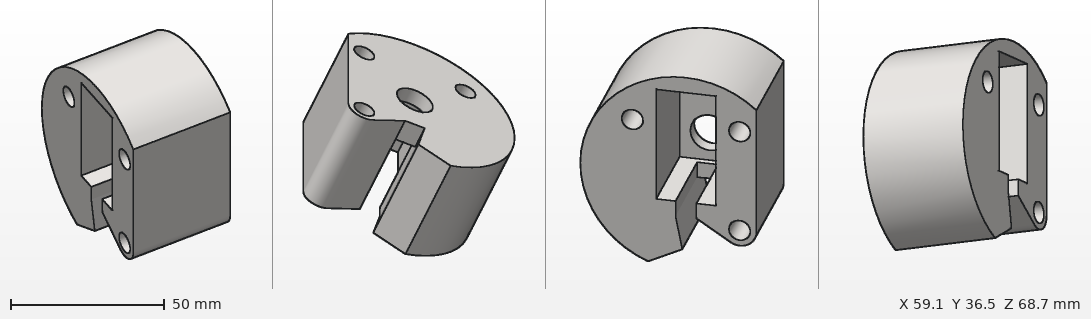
import cadquery as cq
import math

thickness = 36.55
body_radius = 35.5
mount_offset = 18.0
mount_diameter = 7.15
corner_radius = 5.6
flat_x = mount_offset + corner_radius
shaft_diameter = 12.8

pocket_width = 20.0
pocket_height = 2 * pocket_width
pocket_bottom = -pocket_width / 2
pocket_depth = 31.25
slot_width = 7.0
slot_bottom = -15.45
slot_depth = 28.85

lip_x = -1.25
lip_z = -27.35
tail_x = -12.7


def on_body_circle(x):
    """Height of the body circle above its centre at the given X."""
    return math.sqrt(body_radius**2 - x**2)


def on_corner(angle):
    """Point on the rounded lower corner at an angle from +X."""
    return (
        mount_offset + corner_radius * math.cos(angle),
        -mount_offset + corner_radius * math.sin(angle),
    )


def front_cut(width, height, bottom, depth):
    """Rectangular cutter centred in X that starts at the -Y face."""
    return cq.Workplane("XY").box(width, depth, height, centered=(True, False, False)).translate((0, 0, bottom))


def make_body():
    slot_half = slot_width / 2
    run_x = slot_half - mount_offset
    run_z = slot_bottom + mount_offset
    tangent_angle = math.atan2(run_z, run_x) + math.acos(corner_radius / math.hypot(run_x, run_z))
    middle_angle = (tangent_angle + 2 * math.pi) / 2
    return (
        cq.Workplane("XZ")
        .moveTo(flat_x, on_body_circle(flat_x))
        .threePointArc((-body_radius, 0), (tail_x, -on_body_circle(tail_x)))
        .lineTo(lip_x, lip_z)
        .lineTo(-slot_half, slot_bottom)
        .lineTo(slot_half, slot_bottom)
        .lineTo(*on_corner(tangent_angle))
        .threePointArc(on_corner(middle_angle), (flat_x, -mount_offset))
        .close()
        .extrude(-thickness)
    )


pocket = front_cut(pocket_width, pocket_height, pocket_bottom, pocket_depth)
slot = front_cut(slot_width, pocket_bottom - slot_bottom, slot_bottom, slot_depth)
shaft_hole = cq.Workplane("XZ").circle(shaft_diameter / 2).extrude(-thickness)
mount_holes = (
    cq.Workplane("XZ")
    .pushPoints([(-mount_offset, mount_offset), (mount_offset, mount_offset), (mount_offset, -mount_offset)])
    .circle(mount_diameter / 2)
    .extrude(-thickness)
)

result = make_body().cut(pocket).cut(slot).cut(shaft_hole).cut(mount_holes)